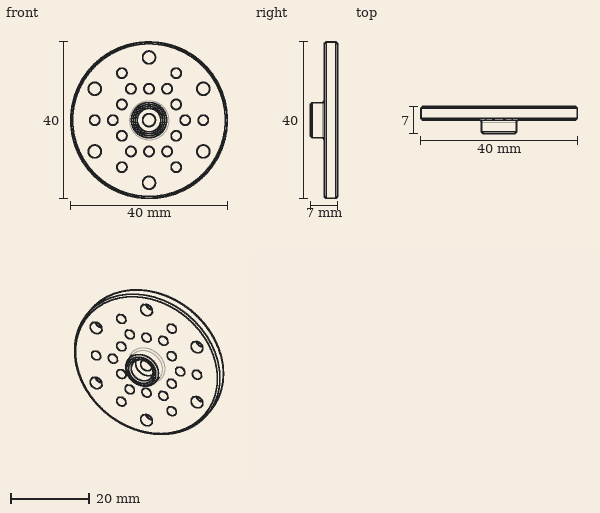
import cadquery as cq
import math

disc_diameter = 40.0
total_depth = 7.0
disc_thickness = total_depth / 2
edge_break = disc_thickness / 7

hub_diameter = 9.0
hub_length = total_depth - disc_thickness
bore_diameter = 6.0
bore_depth = hub_length
center_hole_diameter = 3.2

large_hole_diameter = 3.2
small_hole_diameter = disc_diameter / 16
holes_per_ring = 6
ring_step = 360 / holes_per_ring
large_ring_radius = 16.0
inner_ring_radius = large_ring_radius / 2
outer_small_ring_radius = large_ring_radius * math.cos(math.radians(30))
middle_ring_radius = outer_small_ring_radius * 2 / 3


def cylinder(diameter, start_y, end_y):
    """Solid cylinder about the Y axis, from start_y to end_y."""
    plane = cq.Workplane("XZ", origin=(0, start_y, 0))
    return plane.circle(diameter / 2).extrude(start_y - end_y)


def hole_ring(ring_radius, hole_diameter, start_angle):
    """Cutters for one ring of holes through the disc."""
    return (
        cq.Workplane("XZ")
        .polarArray(ring_radius, start_angle, 360, holes_per_ring)
        .circle(hole_diameter / 2)
        .extrude(-disc_thickness)
    )


disc = cylinder(disc_diameter, 0, disc_thickness).edges().chamfer(edge_break)
hub = cylinder(hub_diameter, -hub_length, 0)
body = disc.union(hub)
hub_root = cq.selectors.BoxSelector(
    (-hub_diameter, -edge_break / 2, -hub_diameter),
    (hub_diameter, edge_break / 2, hub_diameter),
    boundingbox=True,
)
body = body.edges(hub_root).fillet(edge_break)

body = body.cut(cylinder(bore_diameter, -hub_length, bore_depth - hub_length))
body = body.faces("<Y").edges().chamfer(edge_break)
body = body.cut(cylinder(center_hole_diameter, -hub_length, disc_thickness))

rings = [
    (large_ring_radius, large_hole_diameter, ring_step / 2),
    (outer_small_ring_radius, small_hole_diameter, 0),
    (middle_ring_radius, small_hole_diameter, 0),
    (inner_ring_radius, small_hole_diameter, ring_step / 2),
]
for ring_radius, hole_diameter, start_angle in rings:
    body = body.cut(hole_ring(ring_radius, hole_diameter, start_angle))

result = body